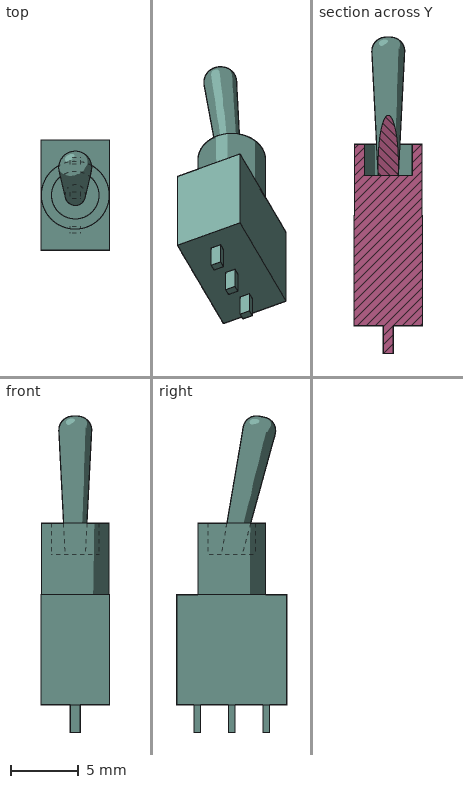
import cadquery as cq

HOUSING_X = 5.08
HOUSING_Y = 8.13
HOUSING_HEIGHT = 8.13
BUSHING_DIAMETER = 5.0
BUSHING_HEIGHT = 5.25
BORE_DIAMETER = 3.5
BORE_DEPTH = 2.3

TERMINAL_COUNT = 3
TERMINAL_PITCH = 2.54
TERMINAL_X = 0.76
TERMINAL_Y = 0.5
TERMINAL_LENGTH = 2.03

LEVER_TILT = 12.5
LEVER_LENGTH = 10.39
LEVER_BASE_DIAMETER = 1.5
LEVER_TIP_DIAMETER = 2.54
LEVER_TIP_FILLET = 1.0

BUSHING_TOP = HOUSING_HEIGHT + BUSHING_HEIGHT
BORE_FLOOR = BUSHING_TOP - BORE_DEPTH


def make_terminal(y):
    """One terminal hanging from the underside of the housing block."""
    return (
        cq.Workplane("XY")
        .center(0, y)
        .rect(TERMINAL_X, TERMINAL_Y)
        .extrude(-TERMINAL_LENGTH)
    )


def make_housing():
    """Block with the bored bushing on top and the terminals below, as one solid."""
    block = cq.Workplane("XY").rect(HOUSING_X, HOUSING_Y).extrude(HOUSING_HEIGHT)
    bushing = (
        cq.Workplane("XY", origin=(0, 0, HOUSING_HEIGHT))
        .circle(BUSHING_DIAMETER / 2)
        .extrude(BUSHING_HEIGHT)
    )
    bore = (
        cq.Workplane("XY", origin=(0, 0, BORE_FLOOR))
        .circle(BORE_DIAMETER / 2)
        .extrude(BORE_DEPTH)
    )
    housing = block.union(bushing).cut(bore)
    for index in range(TERMINAL_COUNT):
        y = (index - (TERMINAL_COUNT - 1) / 2) * TERMINAL_PITCH
        housing = housing.union(make_terminal(y))
    return housing


def make_lever():
    """Tapered lever with a rounded tip, trimmed flat where it stands on the bore floor."""
    base_radius = LEVER_BASE_DIAMETER / 2
    tip_radius = LEVER_TIP_DIAMETER / 2
    overrun = base_radius
    overrun_radius = base_radius - overrun * (tip_radius - base_radius) / LEVER_LENGTH
    profile = [(0, -overrun), (overrun_radius, -overrun), (tip_radius, LEVER_LENGTH), (0, LEVER_LENGTH)]
    lever = (
        cq.Workplane("XZ")
        .polyline(profile)
        .close()
        .revolve(360, (0, 0, 0), (0, 1, 0))
        .faces(">Z")
        .edges()
        .fillet(LEVER_TIP_FILLET)
        .rotate((0, 0, 0), (1, 0, 0), -LEVER_TILT)
        .translate((0, 0, BORE_FLOOR))
    )
    below_floor = (
        cq.Workplane("XY", origin=(0, 0, BORE_FLOOR))
        .circle(BORE_DIAMETER / 2)
        .extrude(-BORE_DEPTH)
    )
    return lever.cut(below_floor)


housing = make_housing()
lever = make_lever()

result = cq.Compound.makeCompound([housing.solids().val(), lever.solids().val()])